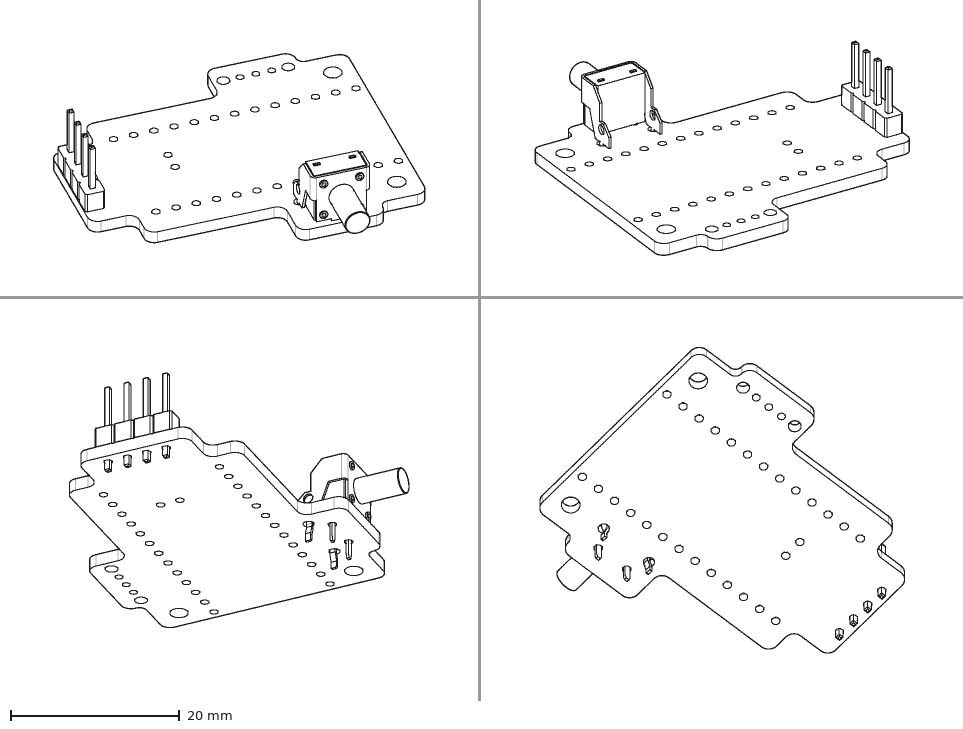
import cadquery as cq
board_length = 39.75
board_thickness = 1.6
tab_half_width = 7.25
tab_length = 5.65
middle_half_width = 11.45
wing_half_width = 16.93
wing_front = 22.77
wing_back = 33.75
back_half_width = 14.65
corner_radius = 1.27
shoulder_radius = 0.95

row_length = 30.5
row_hole_count = 13
pitch = row_length / (row_hole_count - 1)
row_front = 8.03
row_x = 3 * pitch
pin_hole_diameter = 1.0
pair_y = row_front + 2 * pitch
mount_hole_diameter = 2.2
mount_hole_x = 11.5
mount_hole_y = 36.95
side_x = -14.25
side_y = 28.25
side_hole_diameter = 0.9
side_hole_pitch = 2.0
side_post_diameter = 1.5
side_post_spacing = 8.15
leg_hole_diameter = 1.3

seat_gap = 0.08

header_pin_count = 4
header_y = 1.3
header_depth = 2.5
header_height = 2.55
header_chamfer = 0.25
header_pin_width = 0.65
header_pin_top = 8.62
header_pin_bottom = -2.9
header_pin_chamfer = 0.15

button_y = 28.3
body_back = 12.88
body_front = 15.9
body_width = 6.55
body_bottom = 0.4
body_top = 6.9
button_axis_z = 3.58
plunger_diameter = 3.15
plunger_end = 22.17
plunger_chamfer = 0.08

terminal_x = 13.85
terminal_spacing = 4.5
terminal_width = 0.8
terminal_thickness = 0.3
terminal_top = body_top + 0.1
terminal_bottom = -3.9
terminal_tip_width = 0.45
terminal_taper_length = 0.55

sheet = 0.3
bracket_front = 16.35
bracket_width = 7.45
bend_radius = 0.6
wall_lower_edge = 3.55
stub_width = 2.45
wall_slope_x = 14.03
foot_front = 12.75
foot_back = 9.65
foot_corner_z = 1.55
foot_top = 2.8
foot_step_x = 10.93
wall_back = 11.72
wall_corner_z = 5.25
wall_top_x = 13.2
leg_x = 11.35
leg_width = 0.7
leg_kink = 0.35
leg_kink_start = -0.2
leg_kink_top = -1.35
leg_kink_bottom = -1.9
leg_kink_end = -3.0
leg_miter = 0.08
leg_tip_chamfer = 0.15
leg_hole_z = 1.85
bracket_hole_diameter = 1.2
leg_y_offset = (bracket_width - sheet) / 2

rivet_spacing = 4.55
rivet_diameter = 1.0
rivet_head = 0.2
rivet_tip_diameter = 0.5
rivet_tip = 0.15
rivet_tip_fillet = 0.1


def drill(plate, points, diameter):
    cutters = (
        cq.Workplane("XY", origin=(0, 0, -board_thickness))
        .pushPoints(points)
        .circle(diameter / 2)
        .extrude(board_thickness)
    )
    return plate.cut(cutters)


def header_pin_positions():
    middle = (header_pin_count - 1) / 2
    return [((i - middle) * pitch, header_y) for i in range(header_pin_count)]


def terminal_positions():
    return [(terminal_x, button_y + side * terminal_spacing / 2) for side in (-1, 1)]


def board_blank():
    right_side = [
        (tab_half_width, 0),
        (tab_half_width, tab_length),
        (middle_half_width, tab_length),
        (middle_half_width, wing_front),
        (wing_half_width, wing_front),
        (wing_half_width, wing_back),
        (back_half_width, wing_back),
        (back_half_width, board_length),
    ]
    left_side = [(-x, y) for x, y in reversed(right_side)]
    blank = (
        cq.Workplane("XY", origin=(0, 0, -board_thickness))
        .polyline(right_side + left_side)
        .close()
        .extrude(board_thickness)
    )
    for x, y in right_side + left_side:
        is_shoulder = (abs(x), y) == (back_half_width, wing_back)
        radius = shoulder_radius if is_shoulder else corner_radius
        corner = cq.selectors.NearestToPointSelector((x, y, -board_thickness / 2))
        blank = blank.edges("|Z").edges(corner).fillet(radius)
    return blank


def make_board():
    rows = [
        (side * row_x, row_front + i * pitch)
        for side in (-1, 1)
        for i in range(row_hole_count)
    ]
    pair = [(-pitch, pair_y), (0, pair_y)]
    mounts = [(-mount_hole_x, mount_hole_y), (mount_hole_x, mount_hole_y)]
    side_holes = [(side_x, side_y + i * side_hole_pitch) for i in (-1, 0, 1)]
    side_posts = [(side_x, side_y + i * side_post_spacing / 2) for i in (-1, 1)]
    leg_holes = [(leg_x, button_y + side * leg_y_offset) for side in (-1, 1)]
    pin_holes = rows + pair + header_pin_positions() + terminal_positions()

    plate = board_blank()
    plate = drill(plate, pin_holes, pin_hole_diameter)
    plate = drill(plate, mounts, mount_hole_diameter)
    plate = drill(plate, side_holes, side_hole_diameter)
    plate = drill(plate, side_posts, side_post_diameter)
    return drill(plate, leg_holes, leg_hole_diameter)


def make_header():
    positions = header_pin_positions()
    header = None
    for x, y in positions:
        block = (
            cq.Workplane("XY", origin=(x, y, seat_gap))
            .rect(pitch, header_depth)
            .extrude(header_height)
            .edges("|Z")
            .chamfer(header_chamfer)
        )
        header = block if header is None else header.union(block)
    for x, y in positions:
        pin = (
            cq.Workplane("XY", origin=(x, y, header_pin_bottom))
            .rect(header_pin_width, header_pin_width)
            .extrude(header_pin_top - header_pin_bottom)
            .faces("<Z or >Z")
            .chamfer(header_pin_chamfer)
        )
        header = header.union(pin)
    return header


def switch_body():
    return cq.Workplane("XY").box(
        body_front - body_back, body_width, body_top - body_bottom, centered=(False, True, False)
    ).translate((body_back, button_y, body_bottom))


def plunger():
    return (
        cq.Workplane("YZ", origin=(body_front, button_y, button_axis_z))
        .circle(plunger_diameter / 2)
        .extrude(plunger_end - body_front)
        .faces(">X")
        .chamfer(plunger_chamfer)
    )


def terminal(x, y):
    half = terminal_width / 2
    half_tip = terminal_tip_width / 2
    taper_top = terminal_bottom + terminal_taper_length
    return (
        cq.Workplane("YZ", origin=(x - terminal_thickness / 2, y, 0))
        .moveTo(-half, terminal_top)
        .lineTo(-half, taper_top)
        .lineTo(-half_tip, terminal_bottom)
        .lineTo(half_tip, terminal_bottom)
        .lineTo(half, taper_top)
        .lineTo(half, terminal_top)
        .close()
        .extrude(terminal_thickness)
    )


def bracket_shell():
    """Channel of bent sheet, cut to the side profile of its two walls."""
    half = bracket_width / 2
    depth = bracket_front - foot_back
    outer = (
        cq.Workplane("XY")
        .box(depth, bracket_width, body_top, centered=(False, True, False))
        .translate((foot_back, button_y, 0))
        .edges("|Z and >X")
        .fillet(bend_radius)
    )
    inner = (
        cq.Workplane("XY")
        .box(depth - sheet, bracket_width - 2 * sheet, body_top, centered=(False, True, False))
        .translate((foot_back, button_y, 0))
        .edges("|Z and >X")
        .fillet(bend_radius - sheet)
    )
    profile = (
        cq.Workplane("XZ", origin=(0, button_y + half, 0))
        .moveTo(bracket_front, body_top)
        .lineTo(wall_top_x, body_top)
        .lineTo(wall_back, wall_corner_z)
        .lineTo(wall_back, foot_top)
        .lineTo(foot_step_x, foot_top)
        .lineTo(foot_back, foot_corner_z)
        .lineTo(foot_back, seat_gap)
        .lineTo(foot_front, seat_gap)
        .lineTo(wall_slope_x, wall_lower_edge)
        .lineTo(bracket_front, wall_lower_edge)
        .close()
        .extrude(bracket_width)
    )
    holes = (
        cq.Workplane("XZ", origin=(0, button_y + half, 0))
        .center(leg_x, leg_hole_z)
        .circle(bracket_hole_diameter / 2)
        .extrude(bracket_width)
    )
    return outer.cut(inner).intersect(profile).cut(holes)


def bracket_front_plate():
    """Flat front of the bracket below the bends, with a narrow stub down to the board."""
    plate_width = bracket_width - 2 * bend_radius
    plate = cq.Workplane("XY").box(
        sheet, plate_width, wall_lower_edge - body_bottom, centered=(False, True, False)
    ).translate((bracket_front - sheet, button_y, body_bottom))
    stub = cq.Workplane("XY").box(
        sheet, stub_width, body_bottom - seat_gap, centered=(False, True, False)
    ).translate((bracket_front - sheet, button_y, seat_gap))
    return plate.union(stub)


def bracket_leg(side):
    """Snap-in leg that kinks towards the button centre and out again."""
    half = sheet / 2
    path = [
        (0, seat_gap, 0),
        (0, leg_kink_start, -leg_miter),
        (-leg_kink, leg_kink_top, -leg_miter),
        (-leg_kink, leg_kink_bottom, leg_miter),
        (0, leg_kink_end, leg_miter),
        (0, terminal_bottom, 0),
    ]
    outside = [(side * (offset + half), z + miter) for offset, z, miter in path]
    inside = [(side * (offset - half), z - miter) for offset, z, miter in reversed(path)]
    return (
        cq.Workplane("YZ", origin=(leg_x - leg_width / 2, button_y + side * leg_y_offset, 0))
        .polyline(outside + inside)
        .close()
        .extrude(leg_width)
        .faces("<Z")
        .edges(">X")
        .chamfer(leg_tip_chamfer)
    )


def rivet(y, z):
    shank = bracket_front - body_front + rivet_head
    return (
        cq.Workplane("YZ", origin=(body_front, y, z))
        .circle(rivet_diameter / 2)
        .extrude(shank)
        .faces(">X")
        .workplane()
        .circle(rivet_tip_diameter / 2)
        .extrude(rivet_tip)
        .faces(">X")
        .edges()
        .fillet(rivet_tip_fillet)
    )


def make_button():
    button = switch_body().union(plunger())
    button = button.union(bracket_shell()).union(bracket_front_plate())
    for x, y in terminal_positions():
        button = button.union(terminal(x, y))
    for side in (-1, 1):
        button = button.union(bracket_leg(side))
        for level in (-1, 1):
            rivet_y = button_y + side * rivet_spacing / 2
            rivet_z = button_axis_z + level * rivet_spacing / 2
            button = button.union(rivet(rivet_y, rivet_z))
    return button


board = make_board()
header = make_header()
button = make_button()
result = cq.Compound.makeCompound([board.val(), header.val(), button.val()])